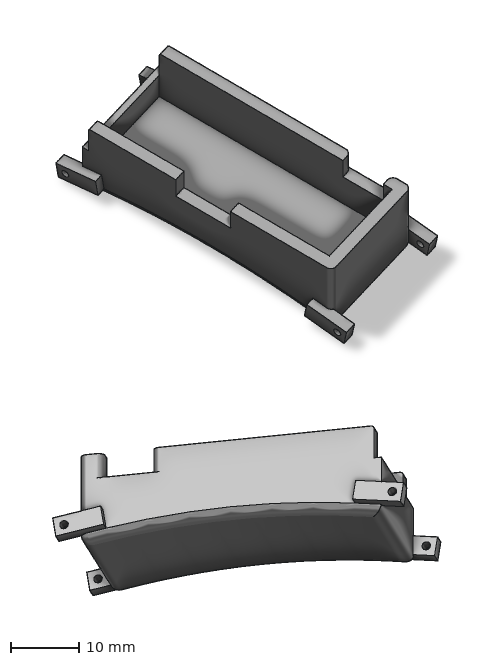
import cadquery as cq
import math

body_length = 45.7
body_width = 19.5
wall = 2.0
corner_radius = 1.0

arch_height = -12.2
arch_radius = 124.5
bottom_edge_radius = 1.5
floor_height = arch_height + wall

low_wall_thickness = 1.1
low_wall_height = -5.18
side_wall_end_radius = 0.5

notch_depth = 3.9
front_notch_start = -5.75
front_notch_length = 10.0
back_notch_start = 11.85
back_notch_length = 7.4

tab_length = 7.35
tab_height = 3.0
tab_thickness = 2.0
tab_overlap = 0.5
tab_tilt = 8.9
tab_span = 53.17
tab_corner_height = -10.3
tab_hole_diameter = 1.25
tab_hole_inset = 1.5

half_length = body_length / 2
half_width = body_width / 2


def box_between(x_range, y_range, z_range):
    """Axis-aligned box spanning the given (low, high) ranges."""
    size = [high - low for low, high in (x_range, y_range, z_range)]
    corner = (x_range[0], y_range[0], z_range[0])
    return cq.Workplane("XY").box(*size, centered=False).translate(corner)


def make_block():
    """Solid body with arched underside, rounded +X corners and lower edges."""
    arch_drop = arch_radius - math.sqrt(arch_radius**2 - half_length**2)
    end_height = arch_height - arch_drop
    block = (
        cq.Workplane("XZ")
        .moveTo(-half_length, 0)
        .lineTo(-half_length, end_height)
        .threePointArc((0, arch_height), (half_length, end_height))
        .lineTo(half_length, 0)
        .close()
        .extrude(half_width, both=True)
    )
    block = block.edges("|Z and >X").fillet(corner_radius)
    return block.faces("<Z").edges().fillet(bottom_edge_radius)


def cut_cavity(body):
    """Hollow out the tray, leaving a low wall at the -X end."""
    inner_start = -half_length + low_wall_thickness
    inner_half_width = half_width - wall
    cavity = box_between(
        (inner_start, half_length - wall),
        (-inner_half_width, inner_half_width),
        (floor_height, 0),
    )
    end_opening = box_between(
        (-half_length, inner_start),
        (-half_width, half_width),
        (low_wall_height, 0),
    )
    body = body.cut(cavity).cut(end_opening)
    for side in (-1, 1):
        edge_middle = (inner_start, side * (half_width - wall / 2), 0)
        edge = cq.selectors.NearestToPointSelector(edge_middle)
        body = body.edges(edge).fillet(side_wall_end_radius)
    return body


def cut_front_notch(body):
    """Square notch through the -Y wall."""
    notch = box_between(
        (front_notch_start, front_notch_start + front_notch_length),
        (-half_width, -half_width + wall),
        (-notch_depth, 0),
    )
    return body.cut(notch)


def cut_back_notch(body):
    """Notch through the +Y wall with its outer vertical edges rounded."""
    notch_end = back_notch_start + back_notch_length
    notch = box_between(
        (back_notch_start, notch_end),
        (half_width - wall, half_width),
        (-notch_depth, 0),
    )
    body = body.cut(notch)
    for x in (back_notch_start, notch_end):
        edge_middle = (x, half_width, -notch_depth / 2)
        edge = cq.selectors.NearestToPointSelector(edge_middle)
        body = body.edges(edge).fillet(corner_radius)
    return body


def make_tab():
    """Tab at the -X, -Y corner with a cross hole near its outer end."""
    outer_face = -half_width + tab_overlap - tab_thickness
    tab = box_between((0, tab_length), (0, tab_thickness), (-tab_height, 0))
    hole = (
        cq.Workplane("XZ")
        .center(tab_hole_inset, -tab_height / 2)
        .circle(tab_hole_diameter / 2)
        .extrude(-tab_thickness)
    )
    tab = tab.cut(hole).rotate((0, 0, 0), (0, 1, 0), -tab_tilt)
    return tab.translate((-tab_span / 2, outer_face, tab_corner_height))


def add_tabs(body):
    """Join a tab at each of the four corners."""
    left_front = make_tab()
    right_front = left_front.mirror("YZ")
    for tab in (left_front, right_front):
        body = body.union(tab).union(tab.mirror("XZ"))
    return body


result = make_block()
result = cut_cavity(result)
result = cut_front_notch(result)
result = cut_back_notch(result)
result = add_tabs(result)